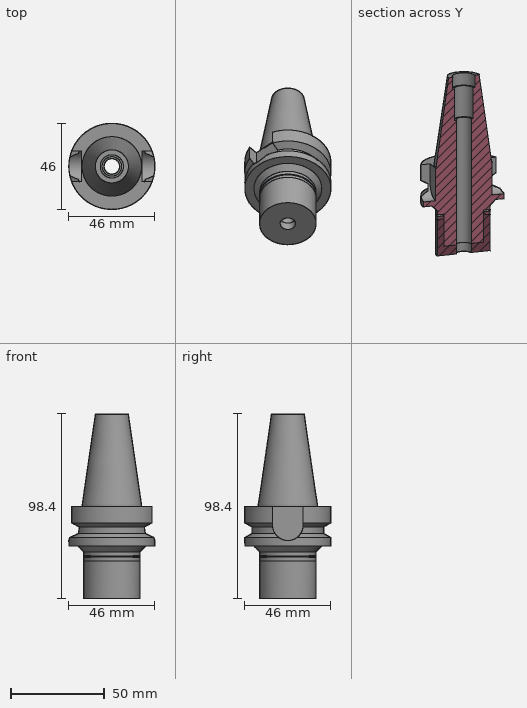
import cadquery as cq
import math


taper_length = 48.4
gauge_radius = 31.75 / 2
taper_ratio = 7 / 24
taper_tip_radius = gauge_radius - taper_length * taper_ratio / 2

flange_radius = 23.0
flange_top = -0.85
groove_radius = 19.2
groove_center = -13.5
groove_floor_width = 3.5
groove_side_angle = 60.0
groove_mouth_width = groove_floor_width + 2 * (flange_radius - groove_radius) / math.tan(
    math.radians(groove_side_angle)
)
flange_bottom = -22.0

slot_width = 16.3
slot_floor_x = 16.2
slot_bottom = -19.0

body_radius = 15.1
cone_top_radius = 18.1
cone_bottom = flange_bottom - (cone_top_radius - body_radius)
body_bottom = -27.2

nose_radius = 11.35
nose_bottom = -45.0

counterbore_radius = 6.2
counterbore_depth = 6.8
thread_hole_radius = 5.2
thread_hole_depth = 24.0
bore_radius = 4.1

ring_top = -27.85
nut_top = -29.8
nut_bottom = -50.0


def cylinder(radius, bottom, top):
    """Cylinder about the Z axis between two heights."""
    return cq.Workplane("XY").workplane(offset=bottom).circle(radius).extrude(top - bottom)


def make_turned_blank():
    """Revolved outline of the taper, flange, gripper groove, body and nose."""
    outline = [
        (0, taper_length),
        (taper_tip_radius, taper_length),
        (gauge_radius, 0),
        (gauge_radius, flange_top),
        (flange_radius, flange_top),
        (flange_radius, groove_center + groove_mouth_width / 2),
        (groove_radius, groove_center + groove_floor_width / 2),
        (groove_radius, groove_center - groove_floor_width / 2),
        (flange_radius, groove_center - groove_mouth_width / 2),
        (flange_radius, flange_bottom),
        (cone_top_radius, flange_bottom),
        (body_radius, cone_bottom),
        (body_radius, body_bottom),
        (nose_radius, body_bottom),
        (nose_radius, nose_bottom),
        (0, nose_bottom),
    ]
    return cq.Workplane("XZ").polyline(outline).close().revolve(360, (0, 0, 0), (0, 1, 0))


def make_drive_slot(side):
    """Cutter for a slot with a round lower end; side is +1 or -1 along X."""
    half_width = slot_width / 2
    arc_center_z = slot_bottom + half_width
    return (
        cq.Workplane("YZ")
        .workplane(offset=side * slot_floor_x)
        .moveTo(-half_width, flange_top)
        .lineTo(-half_width, arc_center_z)
        .threePointArc((0, slot_bottom), (half_width, arc_center_z))
        .lineTo(half_width, flange_top)
        .close()
        .extrude(side * (flange_radius - slot_floor_x))
    )


def make_holder():
    holder = make_turned_blank()
    for side in (-1, 1):
        holder = holder.cut(make_drive_slot(side))
    holder = holder.cut(cylinder(counterbore_radius, taper_length - counterbore_depth, taper_length))
    holder = holder.cut(cylinder(thread_hole_radius, taper_length - thread_hole_depth, taper_length))
    return holder.cut(cylinder(bore_radius, nose_bottom, taper_length))


def make_spacer_ring():
    """Plain ring around the nose, resting on the nut."""
    return cylinder(body_radius, nut_top, ring_top).cut(cylinder(nose_radius, nut_top, ring_top))


def make_nut():
    """Cup around the nose with the bore continued through its floor."""
    nut = cylinder(body_radius, nut_bottom, nut_top)
    nut = nut.cut(cylinder(nose_radius, nose_bottom, nut_top))
    return nut.cut(cylinder(bore_radius, nut_bottom, nose_bottom))


holder = make_holder()
spacer_ring = make_spacer_ring()
nut = make_nut()

result = cq.Compound.makeCompound([holder.val(), spacer_ring.val(), nut.val()])